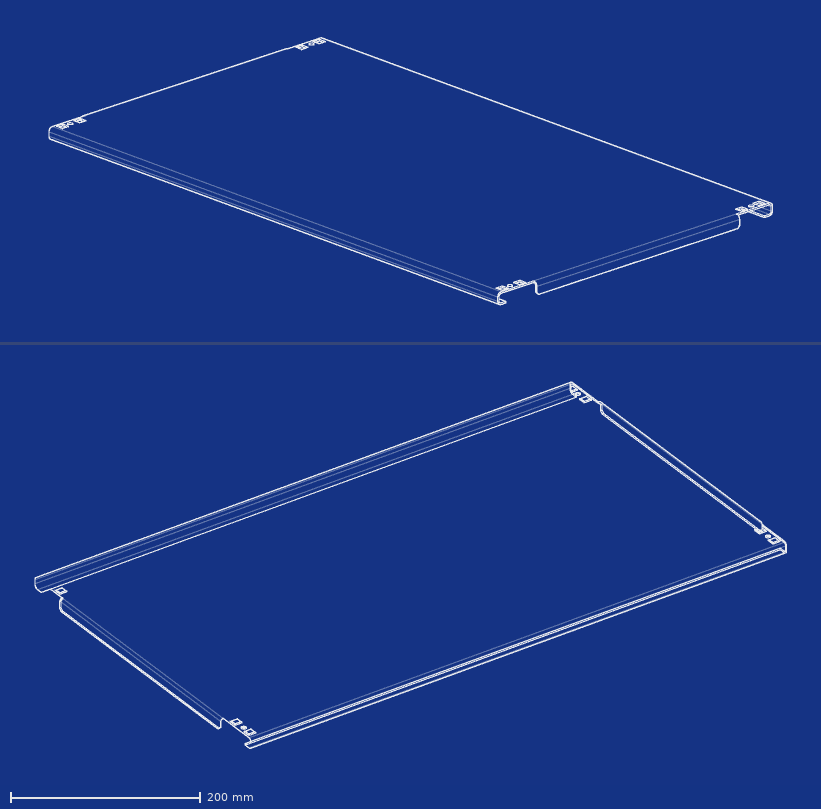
import cadquery as cq
import math

length = 699.0
width = 400.0
height = 15.0

thickness = 2.0
bend_radius = 5.0
inner_radius = bend_radius - thickness

hook_reach = 12.0
flange_length = 295.0
flange_corner = 3.0

hole_inset = 12.0
square_size = 9.0
round_diameter = 5.5
outer_square_y = 186.5
round_y = 175.5
inner_square_y = 161.5

sheet_half_length = length / 2 - bend_radius
sheet_half_width = width / 2 - bend_radius
sheet_bottom = height - thickness
hole_x = length / 2 - hole_inset
bend_diagonal = math.sqrt(0.5)


def make_sheet():
    """Flat top panel between the bends."""
    return (
        cq.Workplane("XY", origin=(0, 0, sheet_bottom))
        .rect(2 * sheet_half_length, 2 * sheet_half_width)
        .extrude(thickness)
    )


def make_hook():
    """C-shaped edge along the +Y side: down bend, web and inward lip."""
    center_y = sheet_half_width
    outer_y = width / 2
    inner_y = outer_y - thickness
    lip_y = outer_y - hook_reach
    upper_z = height - bend_radius
    lower_z = bend_radius
    outer_mid = bend_radius * bend_diagonal
    inner_mid = inner_radius * bend_diagonal
    return (
        cq.Workplane("YZ", origin=(-sheet_half_length, 0, 0))
        .moveTo(center_y, height)
        .threePointArc((center_y + outer_mid, upper_z + outer_mid), (outer_y, upper_z))
        .lineTo(outer_y, lower_z)
        .threePointArc((center_y + outer_mid, lower_z - outer_mid), (center_y, 0))
        .lineTo(lip_y, 0)
        .lineTo(lip_y, thickness)
        .lineTo(center_y, thickness)
        .threePointArc((center_y + inner_mid, lower_z - inner_mid), (inner_y, lower_z))
        .lineTo(inner_y, upper_z)
        .threePointArc((center_y + inner_mid, upper_z + inner_mid), (center_y, sheet_bottom))
        .close()
        .extrude(2 * sheet_half_length)
    )


def make_flange():
    """Flange bent down at the +X end, with its lower corners cut off."""
    center_x = sheet_half_length
    outer_x = length / 2
    inner_x = outer_x - thickness
    bend_z = height - bend_radius
    outer_mid = bend_radius * bend_diagonal
    inner_mid = inner_radius * bend_diagonal
    return (
        cq.Workplane("XZ", origin=(0, flange_length / 2, 0))
        .moveTo(center_x, height)
        .threePointArc((center_x + outer_mid, bend_z + outer_mid), (outer_x, bend_z))
        .lineTo(outer_x, 0)
        .lineTo(inner_x, 0)
        .lineTo(inner_x, bend_z)
        .threePointArc((center_x + inner_mid, bend_z + inner_mid), (center_x, sheet_bottom))
        .close()
        .extrude(flange_length)
        .faces("<Z")
        .edges("|X")
        .chamfer(flange_corner)
    )


def make_corner_holes():
    """Two square holes and one round hole through the panel at each corner."""
    base = cq.Workplane("XY", origin=(0, 0, sheet_bottom))
    square_points = []
    round_points = []
    for x in (-hole_x, hole_x):
        for side in (-1, 1):
            square_points.append((x, side * outer_square_y))
            square_points.append((x, side * inner_square_y))
            round_points.append((x, side * round_y))
    squares = base.pushPoints(square_points).rect(square_size, square_size).extrude(thickness)
    rounds = base.pushPoints(round_points).circle(round_diameter / 2).extrude(thickness)
    return squares.union(rounds)


hook = make_hook()
flange = make_flange()
panel = make_sheet()
panel = panel.union(hook).union(hook.mirror("XZ"))
panel = panel.union(flange).union(flange.mirror("YZ"))
result = panel.cut(make_corner_holes())